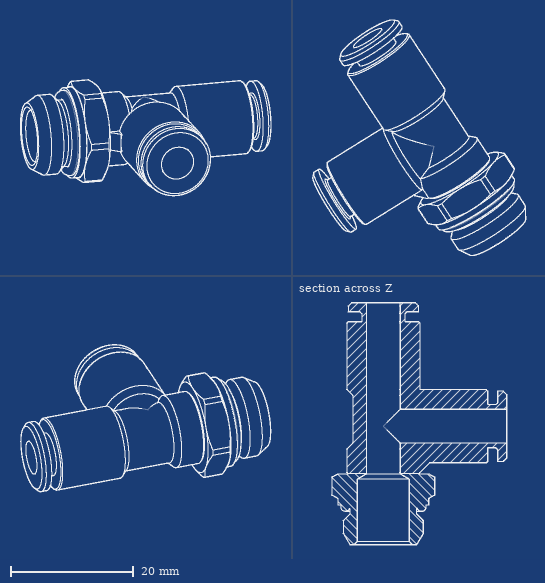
import cadquery as cq
import math


sleeve_radius = 6.0
waist_radius = 5.0
bore_radius = 2.7
edge_chamfer = 0.25

sleeve_end = 17.02
button_radius = 5.75
button_neck_radius = 3.55
button_inner_face = 18.6
button_end = 20.1
button_chamfer = 0.55
button_neck_flare = 0.28

collar_shoulder = 2.75
joint_distance = 7.75

gusset_thickness = 3.0

hex_height = 3.98
flange_height = 1.1
seal_rim_height = 0.28
groove_height = 1.4
thread_height = 2.1
stud_length = 11.55
flange_radius = 7.4
seal_radius = 6.97
groove_radius = 5.45
thread_radius = 6.55

hex_sides = 6
hex_across_flats = 15.0
hex_half_flats = hex_across_flats / 2
hex_corner_radius = 8.4
hex_chamfer_angle = 30

stud_bore_radius = 4.2
stud_bore_chamfer = 0.55
bore_cone_half_angle = 60


def revolve_about_y(outline):
    return outline.close().revolve(360, (0, 0, 0), (0, 1, 0))


def draw_arm(outline):
    """Trace one arm outward along +Y: waist, sleeve and release button."""
    return (
        outline
        .lineTo(waist_radius, waist_radius)
        .lineTo(sleeve_radius, sleeve_radius)
        .lineTo(sleeve_radius, sleeve_end - edge_chamfer)
        .lineTo(sleeve_radius - edge_chamfer, sleeve_end)
        .lineTo(button_neck_radius, sleeve_end)
        .lineTo(button_neck_radius, button_inner_face - button_neck_flare)
        .lineTo(button_neck_radius + button_neck_flare, button_inner_face)
        .lineTo(button_radius, button_inner_face)
        .lineTo(button_radius, button_end - button_chamfer)
        .lineTo(button_radius - button_chamfer, button_end)
        .lineTo(0, button_end)
    )


def make_run():
    """Straight run: collar that meets the stud, then the waist and the arm above it."""
    shoulder_height = sleeve_radius - waist_radius
    collar = (
        cq.Workplane("XY")
        .moveTo(0, -joint_distance)
        .lineTo(sleeve_radius - edge_chamfer, -joint_distance)
        .lineTo(sleeve_radius, -joint_distance + edge_chamfer)
        .lineTo(sleeve_radius, -collar_shoulder - shoulder_height)
        .lineTo(waist_radius, -collar_shoulder)
    )
    return revolve_about_y(draw_arm(collar))


def make_branch():
    """Side arm along +X, starting at the axis of the run."""
    arm = revolve_about_y(draw_arm(cq.Workplane("XY").lineTo(waist_radius, 0)))
    return arm.rotate((0, 0, 0), (0, 0, 1), -90)


def make_gusset():
    """Web in the corner, with a 45 degree edge from the collar to the branch."""
    collar_edge = joint_distance - edge_chamfer
    return (
        cq.Workplane("XY")
        .moveTo(waist_radius, -waist_radius)
        .lineTo(waist_radius, -collar_edge)
        .lineTo(sleeve_radius, -collar_edge)
        .lineTo(collar_edge, -sleeve_radius)
        .lineTo(collar_edge, -waist_radius)
        .close()
        .extrude(gusset_thickness / 2, both=True)
    )


def make_tee():
    run_bore = (
        cq.Workplane("XZ", origin=(0, button_end, 0))
        .circle(bore_radius)
        .extrude(button_end + joint_distance)
    )
    branch_bore = cq.Workplane("YZ").circle(bore_radius).extrude(button_end)
    body = make_run().union(make_branch()).union(make_gusset())
    return body.cut(run_bore).cut(branch_bore)


def make_hexagon():
    """Hexagon with corners turned round and conical chamfers on both faces."""
    chamfer_height = (hex_corner_radius - hex_half_flats) * math.tan(math.radians(hex_chamfer_angle))
    across_corners = hex_across_flats / math.cos(math.pi / hex_sides)
    top = -joint_distance
    bottom = top - hex_height
    prism = cq.Workplane("XZ", origin=(0, top, 0)).polygon(hex_sides, across_corners).extrude(hex_height)
    turned_blank = revolve_about_y(
        cq.Workplane("XY")
        .moveTo(0, top)
        .lineTo(hex_half_flats, top)
        .lineTo(hex_corner_radius, top - chamfer_height)
        .lineTo(hex_corner_radius, bottom + chamfer_height)
        .lineTo(hex_half_flats, bottom)
        .lineTo(0, bottom)
    )
    return prism.intersect(turned_blank)


def make_spigot():
    """Turned end below the hexagon: flange, half-round seal bead, groove and thread."""
    hex_bottom = -joint_distance - hex_height
    flange_bottom = hex_bottom - flange_height
    seal_rim = flange_bottom - seal_rim_height
    seal_tip_radius = (seal_radius + groove_radius) / 2
    seal_tip = seal_rim - (seal_radius - groove_radius) / 2
    groove_bottom = flange_bottom - groove_height
    thread_step = thread_radius - groove_radius
    thread_top = groove_bottom - thread_step
    outline = (
        cq.Workplane("XY")
        .moveTo(0, hex_bottom)
        .lineTo(flange_radius, hex_bottom)
        .lineTo(flange_radius, flange_bottom)
        .lineTo(seal_radius, flange_bottom)
        .lineTo(seal_radius, seal_rim)
        .threePointArc((seal_tip_radius, seal_tip), (groove_radius, seal_rim))
        .lineTo(groove_radius, groove_bottom)
        .lineTo(thread_radius, thread_top)
        .lineTo(thread_radius, thread_top - thread_height)
        .lineTo(groove_radius, -joint_distance - stud_length)
        .lineTo(0, -joint_distance - stud_length)
    )
    return revolve_about_y(outline)


def make_stud_bore():
    """Wide bore with a chamfered mouth that narrows by a cone to the tee bore."""
    joint = -joint_distance
    mouth = joint - stud_length
    cone_height = (stud_bore_radius - bore_radius) / math.tan(math.radians(bore_cone_half_angle))
    outline = (
        cq.Workplane("XY")
        .moveTo(0, joint)
        .lineTo(bore_radius, joint)
        .lineTo(stud_bore_radius, joint - cone_height)
        .lineTo(stud_bore_radius, mouth + stud_bore_chamfer)
        .lineTo(stud_bore_radius + stud_bore_chamfer, mouth)
        .lineTo(0, mouth)
    )
    return revolve_about_y(outline)


def make_stud():
    return make_hexagon().union(make_spigot()).cut(make_stud_bore())


tee = make_tee()
stud = make_stud()

result = cq.Compound.makeCompound([tee.solids().val(), stud.solids().val()])